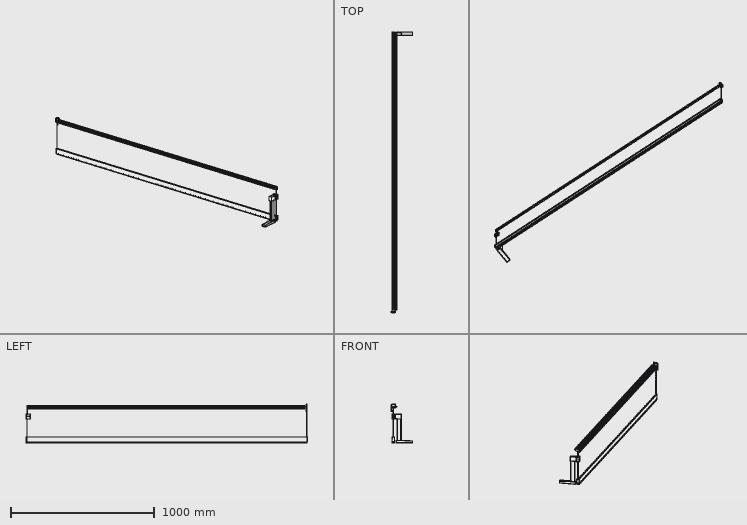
import cadquery as cq

TOTAL_X = 150.69
TOTAL_Y = 1956.3
TOTAL_Z = 272.39

PANEL_LEFT = 14.0
PANEL_RIGHT = 19.0
PANEL_FRONT = 2.2
PANEL_BACK = TOTAL_Y - 6.5
PANEL_BOTTOM = 10.0
PANEL_TOP = 242.0

BOTTOM_RAIL_LEFT = 8.0
BOTTOM_RAIL_RIGHT = 25.0
BOTTOM_RAIL_TOP = 39.5
BOTTOM_RAIL_BULGE = 0.6
SLOT_LEFT = 11.0
SLOT_RIGHT = 16.0
SLOT_DEPTH = 6.0
BOTTOM_CAP_BOTTOM = 9.0
BOTTOM_CAP_DEPTH = 4.0

TOP_RAIL_FRONT = 20.0
TOP_RAIL_LEFT = 6.0
TOP_RAIL_RIGHT = 31.0
TOP_RAIL_TOP = 260.0
TOP_RAIL_SHOULDER = 253.0
TOP_RAIL_STEP_X = 9.0
TOP_RAIL_STEP_Z = 256.0
TOP_RAIL_LEG_BOTTOM = 235.0
TOP_RAIL_ROOF_LEFT = 12.0
HOOK_TIP_X = 43.0
HOOK_TIP_Z = 257.0
HOOK_ROOT_X = 34.0
HOOK_STEP_X = 37.0
HOOK_LIP_DROP = 2.0
HOOK_BOTTOM = 245.0
GROOVE_WIDTH = 4.0
GROOVE_DEPTH = 5.0
GROOVE_PITCH = 7.0
FIRST_ROOF_GROOVE = 15.0
ROOF_GROOVES = 2
SIDE_GROOVE_BOTTOM = 243.0
SIDE_GROOVE_TOP = 248.0
SIDE_GROOVE_DEPTH = 3.0

CAP_FRONT = PANEL_FRONT
CAP_FLANGE_BACK = 6.0
CAP_BACK = 10.0
CAP_STEP_Z = 266.0
CAP_RIGHT = 33.0
CAP_BOTTOM = 219.0
CAP_SIDE_TOP = 262.0
CAP_CORNER_X = 6.0
CAP_CORNER_Z = 269.0
CAP_ROOF_LEFT = 15.0
CAP_THROAT_Z = 244.0
CAP_NECK_TOP = 254.0
CAP_RIM = 5.0
CAP_RECESS_DEPTH = 2.0

CLAMP_LEFT = 8.0
CLAMP_RIGHT = 25.0
CLAMP_WIDTH = 31.0
CLAMP_FRONT_STRIP = 6.0
CLAMP_RECESS = 2.0
CLAMP_SLIT = 3.0
ARM_BOTTOM = 167.0
ARM_TOP = 200.0
NECK_RIGHT = 31.0
NECK_INSET = 3.0
STAND_RIGHT = 73.0
COLUMN_LEFT = 43.5
COLUMN_CHAMFER = 6.0
COLUMN_INSET = 1.0
FOOT_LEFT = 36.0
FOOT_WIDTH = 27.0
FOOT_HEIGHT = 18.0
FOOT_SLOPE_START = 79.0
FOOT_TOE_HEIGHT = 14.0
BEVEL_WIDTH = 8.0
BEVEL_DROP = 2.0
ARM_BACK = TOTAL_Y - 4.0
ARM_FRONT = TOTAL_Y - FOOT_WIDTH


def block(x, y, z):
    """Box between the given (low, high) limits along each axis."""
    size = (x[1] - x[0], y[1] - y[0], z[1] - z[0])
    return cq.Workplane("XY").box(*size, centered=False).translate((x[0], y[0], z[0]))


def profile_plane(y):
    """XZ workplane at the given y; a negative extrusion goes toward +Y."""
    return cq.Workplane("XZ", origin=(0, y, 0))


def bevelled_section(back, bottom, top):
    """YZ outline from the stand's front face to `back`, its top sloping down along both sides."""
    return [
        (ARM_FRONT, bottom),
        (ARM_FRONT, top - BEVEL_DROP),
        (ARM_FRONT + BEVEL_WIDTH, top),
        (back - BEVEL_WIDTH, top),
        (back, top - BEVEL_DROP),
        (back, bottom),
    ]


def panel():
    return block((PANEL_LEFT, PANEL_RIGHT), (PANEL_FRONT, PANEL_BACK), (PANEL_BOTTOM, PANEL_TOP))


def bottom_rail():
    """Slotted rail under the panel, with a cap at each end."""
    mid_z = BOTTOM_RAIL_TOP / 2
    rail = (
        profile_plane(PANEL_FRONT)
        .moveTo(BOTTOM_RAIL_LEFT, 0)
        .threePointArc((BOTTOM_RAIL_LEFT - BOTTOM_RAIL_BULGE, mid_z), (BOTTOM_RAIL_LEFT, BOTTOM_RAIL_TOP))
        .lineTo(BOTTOM_RAIL_RIGHT, BOTTOM_RAIL_TOP)
        .threePointArc((BOTTOM_RAIL_RIGHT + BOTTOM_RAIL_BULGE, mid_z), (BOTTOM_RAIL_RIGHT, 0))
        .close()
        .extrude(PANEL_FRONT - PANEL_BACK)
    )
    rail = rail.cut(block((SLOT_LEFT, SLOT_RIGHT), (PANEL_FRONT, PANEL_BACK), (0, SLOT_DEPTH)))
    cap_ends = ((0, PANEL_FRONT + BOTTOM_CAP_DEPTH), (PANEL_BACK - BOTTOM_CAP_DEPTH, TOTAL_Y))
    for y_range in cap_ends:
        cap = block((BOTTOM_RAIL_LEFT, BOTTOM_RAIL_RIGHT), y_range, (BOTTOM_CAP_BOTTOM, BOTTOM_RAIL_TOP))
        rail = rail.union(cap)
    return rail


def top_rail():
    """Rail with a stepped left shoulder, a grooved roof and a hook on the right."""
    outline = [
        (TOP_RAIL_LEFT, TOP_RAIL_LEG_BOTTOM),
        (TOP_RAIL_LEFT, TOP_RAIL_SHOULDER),
        (TOP_RAIL_STEP_X, TOP_RAIL_SHOULDER),
        (TOP_RAIL_STEP_X, TOP_RAIL_STEP_Z),
        (TOP_RAIL_ROOF_LEFT, TOP_RAIL_STEP_Z),
        (TOP_RAIL_ROOF_LEFT, TOP_RAIL_TOP),
        (TOP_RAIL_RIGHT, TOP_RAIL_TOP),
        (TOP_RAIL_RIGHT, HOOK_TIP_Z),
        (HOOK_STEP_X, HOOK_TIP_Z),
        (HOOK_STEP_X, HOOK_TIP_Z - HOOK_LIP_DROP),
        (HOOK_TIP_X, HOOK_TIP_Z - HOOK_LIP_DROP),
        (HOOK_ROOT_X, HOOK_BOTTOM),
        (TOP_RAIL_RIGHT, PANEL_TOP),
        (PANEL_LEFT, PANEL_TOP),
        (PANEL_LEFT, TOP_RAIL_LEG_BOTTOM),
    ]
    y_range = (TOP_RAIL_FRONT, PANEL_BACK)
    rail = profile_plane(TOP_RAIL_FRONT).polyline(outline).close().extrude(TOP_RAIL_FRONT - PANEL_BACK)
    for i in range(ROOF_GROOVES):
        left = FIRST_ROOF_GROOVE + i * GROOVE_PITCH
        groove = block((left, left + GROOVE_WIDTH), y_range, (TOP_RAIL_TOP - GROOVE_DEPTH, TOP_RAIL_TOP))
        rail = rail.cut(groove)
    side_groove = block(
        (TOP_RAIL_LEFT, TOP_RAIL_LEFT + SIDE_GROOVE_DEPTH), y_range, (SIDE_GROOVE_BOTTOM, SIDE_GROOVE_TOP)
    )
    return rail.cut(side_groove)


def top_end_cap():
    """Stepped front cap with a recessed face and a neck reaching into the top rail."""
    outline = [
        (0, CAP_BOTTOM),
        (0, CAP_SIDE_TOP),
        (CAP_CORNER_X, CAP_CORNER_Z),
        (CAP_ROOF_LEFT, TOTAL_Z),
        (CAP_RIGHT, TOTAL_Z),
        (CAP_RIGHT, CAP_THROAT_Z),
        (PANEL_RIGHT, CAP_THROAT_Z),
        (PANEL_RIGHT, CAP_BOTTOM),
    ]
    cap = profile_plane(CAP_FRONT).polyline(outline).close().extrude(CAP_FRONT - CAP_BACK)
    recess = profile_plane(CAP_FRONT).polyline(outline).close().offset2D(-CAP_RIM).extrude(-CAP_RECESS_DEPTH)
    neck = block((TOP_RAIL_LEFT, TOP_RAIL_RIGHT), (CAP_BACK, TOP_RAIL_FRONT), (PANEL_TOP, CAP_NECK_TOP))
    step = block((0, CAP_RIGHT), (CAP_FLANGE_BACK, CAP_BACK), (CAP_STEP_Z, TOTAL_Z))
    return cap.cut(recess).cut(step).union(neck)


def clamp_and_arm():
    """Clamp gripping the panel, joined by a narrow neck to the arm above the column."""
    height = (ARM_BOTTOM, ARM_TOP)
    clamp_front = TOTAL_Y - CLAMP_WIDTH
    clamp = block((CLAMP_LEFT, CLAMP_RIGHT), (clamp_front, TOTAL_Y), height)
    recess_x = (CLAMP_LEFT, CLAMP_LEFT + CLAMP_RECESS)
    strip = block(recess_x, (clamp_front, clamp_front + CLAMP_FRONT_STRIP), height)
    slit_bottom = (ARM_BOTTOM + ARM_TOP) / 2
    slit = block(recess_x, (clamp_front, TOTAL_Y), (slit_bottom, slit_bottom + CLAMP_SLIT))
    neck = block((CLAMP_RIGHT, NECK_RIGHT), (ARM_FRONT + NECK_INSET, ARM_BACK - NECK_INSET), height)
    arm = (
        cq.Workplane("YZ", origin=(NECK_RIGHT, 0, 0))
        .polyline(bevelled_section(ARM_BACK, ARM_BOTTOM, ARM_TOP))
        .close()
        .extrude(STAND_RIGHT - NECK_RIGHT)
    )
    return clamp.cut(strip).cut(slit).union(neck).union(arm)


def column():
    """Upright post with its two far vertical edges chamfered."""
    depth = (ARM_FRONT + COLUMN_INSET, ARM_BACK - COLUMN_INSET)
    post = block((COLUMN_LEFT, STAND_RIGHT), depth, (FOOT_HEIGHT, ARM_BOTTOM))
    return post.edges("|Z and >X").chamfer(COLUMN_CHAMFER)


def foot():
    """Flat foot whose top slopes down toward the toe, bevelled along both long edges."""
    heel_section = bevelled_section(TOTAL_Y, 0, FOOT_HEIGHT)
    toe_section = bevelled_section(TOTAL_Y, 0, FOOT_TOE_HEIGHT)
    slope_length = TOTAL_X - FOOT_SLOPE_START
    heel = cq.Workplane("YZ", origin=(FOOT_LEFT, 0, 0)).polyline(heel_section).close()
    heel = heel.extrude(FOOT_SLOPE_START - FOOT_LEFT)
    toe = (
        cq.Workplane("YZ", origin=(FOOT_SLOPE_START, 0, 0))
        .polyline(heel_section)
        .close()
        .workplane(offset=slope_length)
        .polyline(toe_section)
        .close()
        .loft(ruled=True)
    )
    return heel.union(toe)


result = panel()
for piece in (bottom_rail(), top_rail(), top_end_cap(), clamp_and_arm(), column(), foot()):
    result = result.union(piece)